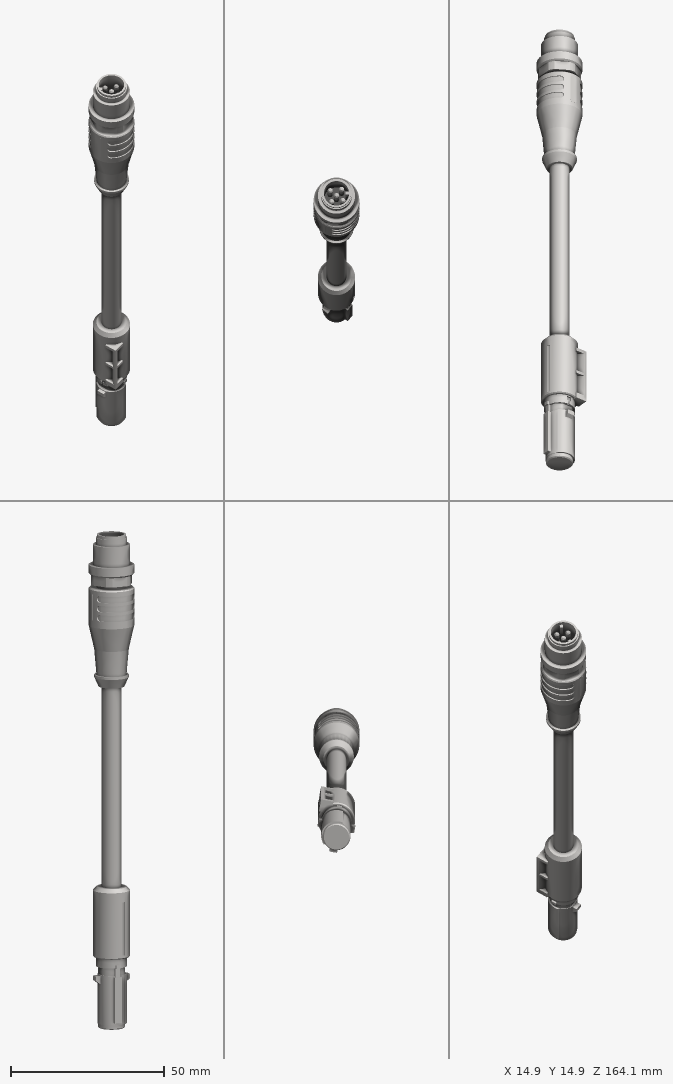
import cadquery as cq
import math

TOTAL_LENGTH = 164.1
MAX_RADIUS = 7.47
OVERCUT = 1.6

LIP_RADIUS = 4.8
LIP_BOTTOM = 163.1
RIM_RADIUS = 5.1
THREAD_RADIUS = 6.0
THREAD_TOP = 160.8
COLLAR_TOP = 154.1
COLLAR_BOTTOM = 150.8
COLLAR_CHAMFER = 0.5
NECK_RADIUS = 5.0

HEX_APOTHEM = 6.48
HEX_CORNER_RADIUS = 6.97
HEX_BOTTOM = 147.7

SOCKET_RADIUS = 4.1
SOCKET_FLOOR = 155.0
PIN_RADIUS = 0.8
PIN_CIRCLE_RADIUS = 2.6
PIN_CHAMFER = 0.41
PIN_TOP = 161.5
KEY_WIDTH = 1.0
KEY_HEIGHT = 1.1
KEY_ANGLE = 225
KEY_TOP = 162.8

GRIP_TOP = 146.5
GRIP_BOTTOM = 133.9
GRIP_CHAMFER = 0.3
TAPER_RADIUS = 5.66
TAPER_BOTTOM = 126.0
RELIEF_END_RADIUS = 5.0
RING_TOP = 117.5
RING_BOTTOM = 116.7
SLEEVE_END_RADIUS = 4.3
SLEEVE_BOTTOM = 113.5

GROOVE_COUNT = 3
GROOVE_PITCH = 3.1
GROOVE_TOP_CENTRE = 143.6
GROOVE_WIDTH = 2.1
GROOVE_DEPTH = 0.3
GROOVE_END_X = 3.3
PANEL_WIDTH = 2.5
PANEL_LENGTH = 10.3
PANEL_CENTRE = 140.5

CABLE_RADIUS = 3.3

HOUSING_RADIUS = 6.0
HOUSING_TOP = 47.0
HOUSING_BOTTOM = 23.6
HOUSING_TOP_CHAMFER = 1.1
HOUSING_BOTTOM_CHAMFER = 0.3

HOLDER_TOP = 42.5
HOLDER_BOTTOM = 23.3
HOLDER_CORNER = 6.2
HOLDER_ARM_START = 2.1
HOLDER_ANGLE = -45
ARM_SPANS = ((41.4, HOLDER_TOP), (32.8, 33.8), (HOLDER_BOTTOM, 25.3))
WEB_THICKNESS = 1.3

MARK_Y = -1.8
MARK_WIDTH = 1.0
MARK_DEPTH = 0.3
MARK_BOTTOM = 24.8

PLUG_COLLAR_RADIUS = 5.1
PLUG_COLLAR_BOTTOM = 20.5
STOP_REACH = 5.66
STOP_WIDTH = 1.6
STOP_HEIGHT = 1.1
WINDOW_SIZE = 1.5
WINDOW_DEPTH = 0.5
WINDOW_TOP = 23.3
SPLIT_WIDTH = 0.5

PLUG_NECK_RADIUS = 4.5
PLUG_NECK_FLAT = 4.02
BARREL_TOP = 17.9
BARREL_RADIUS = 4.6
TIP_RADIUS = 4.5
TIP_CHAMFER = 0.3
SHELL_RADIUS = 5.0
SHELL_BOTTOM = 1.5
SHELL_START_ANGLE = 225
SHELL_SWEEP = 150

RIB_WIDTH = 2.5
RIB_REACH = 5.66
RIB_BOTTOM = 2.3
LATCH_WIDTH = 2.5
LATCH_REACH = 6.0
LATCH_TOP = 17.5
LATCH_SHOULDER = 16.0
LATCH_BOTTOM = 15.0


def cylinder(radius, bottom, top):
    return cq.Workplane("XY").workplane(offset=bottom).circle(radius).extrude(top - bottom)


def box(x_span, y_span, z_span):
    """Axis-aligned block given by its (low, high) limits."""
    lows = [min(span) for span in (x_span, y_span, z_span)]
    sizes = [abs(span[1] - span[0]) for span in (x_span, y_span, z_span)]
    return cq.Workplane("XY").box(*sizes, centered=False).translate(tuple(lows))


def around_axis(solid, angle):
    return solid.rotate((0, 0, 0), (0, 0, 1), angle)


def turned_body():
    """All round stretches as one revolved profile of (radius, z) points."""
    profile = [
        (0, TOTAL_LENGTH),
        (LIP_RADIUS, TOTAL_LENGTH),
        (LIP_RADIUS, LIP_BOTTOM),
        (RIM_RADIUS, LIP_BOTTOM),
        (RIM_RADIUS, THREAD_TOP),
        (THREAD_RADIUS, THREAD_TOP),
        (THREAD_RADIUS, COLLAR_TOP),
        (MAX_RADIUS, COLLAR_TOP),
        (MAX_RADIUS, COLLAR_BOTTOM + COLLAR_CHAMFER),
        (MAX_RADIUS - COLLAR_CHAMFER, COLLAR_BOTTOM),
        (NECK_RADIUS, COLLAR_BOTTOM),
        (NECK_RADIUS, GRIP_TOP),
        (MAX_RADIUS - GRIP_CHAMFER, GRIP_TOP),
        (MAX_RADIUS, GRIP_TOP - GRIP_CHAMFER),
        (MAX_RADIUS, GRIP_BOTTOM),
        (TAPER_RADIUS, TAPER_BOTTOM),
        (RELIEF_END_RADIUS, RING_TOP),
        (TAPER_RADIUS, RING_TOP),
        (TAPER_RADIUS, RING_BOTTOM),
        (SLEEVE_END_RADIUS, SLEEVE_BOTTOM),
        (CABLE_RADIUS, SLEEVE_BOTTOM),
        (CABLE_RADIUS, HOUSING_TOP),
        (HOUSING_RADIUS - HOUSING_TOP_CHAMFER, HOUSING_TOP),
        (HOUSING_RADIUS, HOUSING_TOP - HOUSING_TOP_CHAMFER),
        (HOUSING_RADIUS, HOUSING_BOTTOM + HOUSING_BOTTOM_CHAMFER),
        (HOUSING_RADIUS - HOUSING_BOTTOM_CHAMFER, HOUSING_BOTTOM),
        (PLUG_COLLAR_RADIUS, HOUSING_BOTTOM),
        (PLUG_COLLAR_RADIUS, PLUG_COLLAR_BOTTOM),
        (PLUG_NECK_RADIUS, PLUG_COLLAR_BOTTOM),
        (PLUG_NECK_RADIUS, BARREL_TOP),
        (BARREL_RADIUS, BARREL_TOP),
        (BARREL_RADIUS, SHELL_BOTTOM),
        (TIP_RADIUS, SHELL_BOTTOM),
        (TIP_RADIUS, TIP_CHAMFER),
        (TIP_RADIUS - TIP_CHAMFER, 0),
        (0, 0),
    ]
    return cq.Workplane("XZ").polyline(profile).close().revolve(360, (0, 0, 0), (0, 1, 0))


def hex_nut():
    """Hexagon with flats facing +X and -X and its corners turned off."""
    circumscribed_diameter = 2 * HEX_APOTHEM / math.cos(math.pi / 6)
    prism = (
        cq.Workplane("XY")
        .workplane(offset=HEX_BOTTOM)
        .polygon(6, circumscribed_diameter)
        .extrude(COLLAR_BOTTOM - HEX_BOTTOM)
    )
    return around_axis(prism, 30).intersect(cylinder(HEX_CORNER_RADIUS, HEX_BOTTOM, COLLAR_BOTTOM))


def contact_pins():
    """One central pin and four around it, standing on the socket floor."""
    pin = cylinder(PIN_RADIUS, SOCKET_FLOOR - OVERCUT, PIN_TOP).faces(">Z").chamfer(PIN_CHAMFER)
    pins = pin
    for angle in range(0, 360, 90):
        pins = pins.union(around_axis(pin.translate((PIN_CIRCLE_RADIUS, 0, 0)), angle))
    return pins


def coding_key():
    """Rib on the socket wall that sets the plug orientation."""
    wall_middle = (SOCKET_RADIUS + LIP_RADIUS) / 2
    key = box(
        (SOCKET_RADIUS - KEY_HEIGHT, wall_middle),
        (-KEY_WIDTH / 2, KEY_WIDTH / 2),
        (SOCKET_FLOOR - OVERCUT, KEY_TOP),
    )
    return around_axis(key, KEY_ANGLE)


def grip_grooves():
    """Stacked finger grooves on both X sides, with rounded ends towards the Y sides."""
    end_radius = GROOVE_WIDTH / 2
    outer_x = MAX_RADIUS + OVERCUT
    length = outer_x - GROOVE_END_X + end_radius
    centres = []
    for index in range(GROOVE_COUNT):
        z = GROOVE_TOP_CENTRE - index * GROOVE_PITCH
        centres.append((GROOVE_END_X + length / 2, z))
        centres.append((-GROOVE_END_X - length / 2, z))
    slots = cq.Workplane("XZ").pushPoints(centres).slot2D(length, GROOVE_WIDTH).extrude(outer_x, both=True)
    core = cylinder(MAX_RADIUS - GROOVE_DEPTH, GRIP_BOTTOM, GRIP_TOP)
    return slots.cut(core)


def grip_panels():
    """Upright rounded pads with flat faces, just proud of the grip on its -Y and +Y sides."""
    return (
        cq.Workplane("XZ")
        .center(0, PANEL_CENTRE)
        .slot2D(PANEL_LENGTH, PANEL_WIDTH, 90)
        .extrude(MAX_RADIUS, both=True)
    )


def label_holder():
    """Diagonal web on the housing, carried by three square-cornered arms."""
    half = WEB_THICKNESS / 2
    z_span = (HOLDER_BOTTOM, HOLDER_TOP)
    web = around_axis(box((0, 2 * HOLDER_CORNER), (-half, half), z_span), HOLDER_ANGLE)
    holder = web.intersect(box((0, HOLDER_CORNER), (-HOLDER_CORNER, 0), z_span))
    side = (HOLDER_ARM_START, HOLDER_CORNER)
    for span in ARM_SPANS:
        arm = box(side, (-side[0], -side[1]), span)
        holder = holder.union(arm)
    return holder.cut(cylinder(PLUG_COLLAR_RADIUS, HOLDER_BOTTOM - OVERCUT, HOUSING_BOTTOM))


def housing_mark():
    """Narrow upright groove in the -X side of the housing."""
    half = MARK_WIDTH / 2
    blank = box((-MAX_RADIUS, 0), (MARK_Y - half, MARK_Y + half), (MARK_BOTTOM, HOLDER_TOP))
    return blank.cut(cylinder(HOUSING_RADIUS - MARK_DEPTH, MARK_BOTTOM, HOLDER_TOP))


def collar_stops():
    """Small stops on both X sides of the plug collar."""
    half = STOP_WIDTH / 2
    z_span = (PLUG_COLLAR_BOTTOM, PLUG_COLLAR_BOTTOM + STOP_HEIGHT)
    return box((-STOP_REACH, STOP_REACH), (-half, half), z_span)


def collar_window():
    """Square window in the -Y side of the collar, split open below."""
    y_span = (-PLUG_COLLAR_RADIUS - OVERCUT, -PLUG_COLLAR_RADIUS + WINDOW_DEPTH)
    bottom = WINDOW_TOP - WINDOW_SIZE
    window = box((-WINDOW_SIZE / 2, WINDOW_SIZE / 2), y_span, (bottom, WINDOW_TOP))
    split = box((-SPLIT_WIDTH / 2, SPLIT_WIDTH / 2), y_span, (PLUG_COLLAR_BOTTOM, bottom))
    return window.union(split)


def neck_flats():
    """Flats on both Y sides of the plug neck."""
    outside = (PLUG_NECK_FLAT, PLUG_NECK_FLAT + OVERCUT)
    flat = box((-MAX_RADIUS, MAX_RADIUS), outside, (BARREL_TOP, PLUG_COLLAR_BOTTOM))
    return flat.union(around_axis(flat, 180))


def barrel_shell():
    """Raised sector of the barrel; its edges form steps along the plug."""
    start = math.radians(SHELL_START_ANGLE)
    middle = math.radians(SHELL_START_ANGLE + SHELL_SWEEP / 2)
    end = math.radians(SHELL_START_ANGLE + SHELL_SWEEP)
    on_shell = [(SHELL_RADIUS * math.cos(a), SHELL_RADIUS * math.sin(a)) for a in (start, middle, end)]
    return (
        cq.Workplane("XY")
        .workplane(offset=SHELL_BOTTOM)
        .lineTo(*on_shell[0])
        .threePointArc(on_shell[1], on_shell[2])
        .close()
        .extrude(BARREL_TOP - SHELL_BOTTOM)
    )


def plug_rib():
    """Guide rib along the -X side of the barrel, narrower where it crosses the neck."""
    rib = box((-RIB_REACH, 0), (-RIB_WIDTH / 2, RIB_WIDTH / 2), (RIB_BOTTOM, LATCH_TOP))
    neck = box(
        (-PLUG_COLLAR_RADIUS, 0),
        (-STOP_WIDTH / 2, STOP_WIDTH / 2),
        (LATCH_TOP - OVERCUT, PLUG_COLLAR_BOTTOM + STOP_HEIGHT),
    )
    return rib.union(neck)


def latches():
    """Snap noses on both Y sides, with a sloped underside."""
    outline = [
        (0, LATCH_TOP),
        (LATCH_REACH, LATCH_TOP),
        (LATCH_REACH, LATCH_SHOULDER),
        (BARREL_RADIUS, LATCH_BOTTOM),
        (0, LATCH_BOTTOM),
    ]
    nose = cq.Workplane("YZ").polyline(outline).close().extrude(LATCH_WIDTH / 2, both=True)
    return nose.union(around_axis(nose, 180))


body = turned_body().union(hex_nut())
body = body.cut(cylinder(SOCKET_RADIUS, SOCKET_FLOOR, TOTAL_LENGTH + OVERCUT))
body = body.union(contact_pins()).union(coding_key())
body = body.cut(grip_grooves()).union(grip_panels())
body = body.union(label_holder()).cut(housing_mark())
body = body.union(collar_stops()).cut(collar_window()).cut(neck_flats())
result = body.union(barrel_shell()).union(plug_rib()).union(latches())